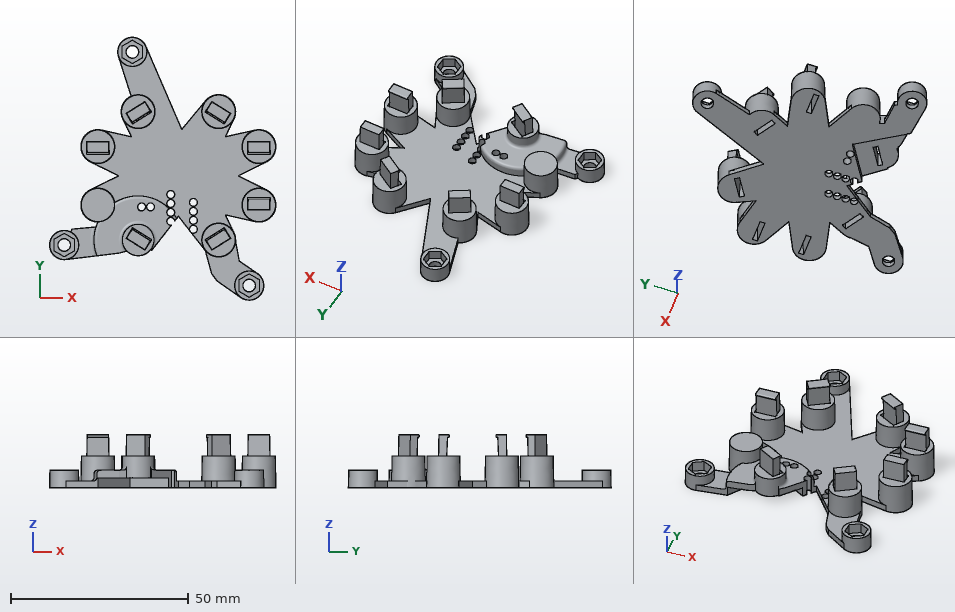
import cadquery as cq
import math

PLATE_TOP = 1.9
POCKET_ROOF = 2.8
PAD_TOP = 5.0
BOSS_TOP = PAD_TOP
PILLAR_TOP = 9.0
CLIP_TOP = 15.0

DRAFT_ANGLE = 1
PILLAR_BASE_RADIUS = 4.8
SIDE_X, SIDE_Y = 22.75, 8.25
DIAGONAL_X, DIAGONAL_Y = 11.4, 18.1
DIAGONAL_TILT = math.degrees(math.atan2(DIAGONAL_X, DIAGONAL_Y))
SIDE_PILLARS = [(sx * SIDE_X, sy * SIDE_Y) for sx in (-1, 1) for sy in (-1, 1)]
DIAGONAL_PILLARS = [(sx * DIAGONAL_X, sy * DIAGONAL_Y) for sx in (-1, 1) for sy in (-1, 1)]
PLAIN_PILLAR = (-SIDE_X, -SIDE_Y)
PAD_PILLAR = (-DIAGONAL_X, -DIAGONAL_Y)

SIDE_NOTCH_X = 16.95
CORNER_NOTCH_X, CORNER_NOTCH_Y = 13.3, 11.1
TOP_NOTCH = (1.0, 13.15)
BOTTOM_NOTCH = (0, -11.45)
LEFT_NOTCH, RIGHT_NOTCH = (-SIDE_NOTCH_X, 0), (SIDE_NOTCH_X, 0)
UPPER_LEFT_NOTCH = (-CORNER_NOTCH_X, CORNER_NOTCH_Y)
UPPER_RIGHT_NOTCH = (CORNER_NOTCH_X, CORNER_NOTCH_Y)
LOWER_LEFT_NOTCH = (-CORNER_NOTCH_X, -CORNER_NOTCH_Y)
LOWER_RIGHT_NOTCH = (CORNER_NOTCH_X, -CORNER_NOTCH_Y)

BOSS_BASE_RADIUS = 4.15
NUT_FLATS = 5.7
NUT_FLOOR = PLATE_TOP
SCREW_DIAMETER = 3.5
TOP_BOSS = (-13.0, 35.0)
LEFT_BOSS = (-32.25, -19.55)
RIGHT_BOSS = (20.0, -31.0)

TOP_ARM_ROOT = (-13.4, 22.5)
LEFT_ARM_SHOULDER = (-30.0, -15.0)
LEFT_ARM_ROOT = (-21.8, -14.3)
LEFT_ARM_HEEL = (-16.65, -21.85)
LEFT_ARM_TOE = (-14.65, -21.25)
RIGHT_ARM_INNER_ELBOW = (17.25, -24.1)
RIGHT_ARM_OUTER_ELBOW = [(10.9, -29.7), (9.4, -27.65)]

PAD_RADIUS = 12.5
PAD_PILLAR_RADIUS = 4.45
FILLET = 1.0
POCKET_HALF = 7.2
POCKET_REACH = 11.9

CLIP_LENGTH = 6.3
CLIP_BACK = -1.4
CLIP_FRONT = 1.0
SLOT_END = 2.1
CLIP_LEAN = 0.2
HOOK_REACH = 1.7
HOOK_TIP_DROP = 0.4
HOOK_ROOT_DROP = 0.75
HOOK_TOP_SETBACK = 0.3

WIRE_DIAMETER = 2.15
WIRE_PITCH = 2.5
WIRE_ROWS = [
    ((-2.15, -5.3), (0, -1), 4),
    ((4.2, -7.5), (0, -1), 4),
    ((-10.4, -8.8), (1, 0), 2),
]


def prism(points, height):
    return cq.Workplane("XY").polyline(points).close().extrude(height)


def tangent_point(point, centre, radius, side):
    """Where the line from point touches the circle; side +1 is counterclockwise of the point."""
    dx, dy = point[0] - centre[0], point[1] - centre[1]
    angle = math.atan2(dy, dx) + side * math.acos(radius / math.hypot(dx, dy))
    return (centre[0] + radius * math.cos(angle), centre[1] + radius * math.sin(angle))


def spoke(centre, first_notch, second_notch):
    """Plate area that runs from two notches, taken counterclockwise, to tangents of a pillar base."""
    first_touch = tangent_point(first_notch, centre, PILLAR_BASE_RADIUS, 1)
    second_touch = tangent_point(second_notch, centre, PILLAR_BASE_RADIUS, -1)
    return prism([(0, 0), first_notch, first_touch, centre, second_touch, second_notch], PLATE_TOP)


def post(centre, base_radius, height, draft=0):
    return cq.Workplane("XY").center(*centre).circle(base_radius).extrude(height, taper=draft)


def cove(centre, radius, base):
    """Ring with a concave quarter-round outside, standing on the height base."""
    corner = FILLET * (1 - math.sqrt(0.5))
    profile = (
        cq.Workplane("XZ")
        .moveTo(radius - FILLET, base)
        .lineTo(radius + FILLET, base)
        .threePointArc((radius + corner, base + corner), (radius, base + FILLET))
        .lineTo(radius - FILLET, base + FILLET)
        .close()
    )
    return profile.revolve(360, (0, 0, 0), (0, 1, 0)).translate((*centre, 0))


def make_plate():
    spokes = [
        ((SIDE_X, SIDE_Y), RIGHT_NOTCH, UPPER_RIGHT_NOTCH),
        ((DIAGONAL_X, DIAGONAL_Y), UPPER_RIGHT_NOTCH, TOP_NOTCH),
        ((-DIAGONAL_X, DIAGONAL_Y), TOP_NOTCH, UPPER_LEFT_NOTCH),
        ((-SIDE_X, SIDE_Y), UPPER_LEFT_NOTCH, LEFT_NOTCH),
        ((-SIDE_X, -SIDE_Y), LEFT_NOTCH, LOWER_LEFT_NOTCH),
        ((-DIAGONAL_X, -DIAGONAL_Y), LOWER_LEFT_NOTCH, BOTTOM_NOTCH),
        ((DIAGONAL_X, -DIAGONAL_Y), BOTTOM_NOTCH, LOWER_RIGHT_NOTCH),
        ((SIDE_X, -SIDE_Y), LOWER_RIGHT_NOTCH, RIGHT_NOTCH),
    ]
    plate = spoke(*spokes[0])
    for centre, first_notch, second_notch in spokes[1:]:
        plate = plate.union(spoke(centre, first_notch, second_notch))
    return plate


def make_top_arm():
    right_touch = tangent_point(TOP_NOTCH, TOP_BOSS, BOSS_BASE_RADIUS, 1)
    left_touch = tangent_point(TOP_ARM_ROOT, TOP_BOSS, BOSS_BASE_RADIUS, -1)
    pillar = (-DIAGONAL_X, DIAGONAL_Y)
    return prism([TOP_NOTCH, right_touch, TOP_BOSS, left_touch, TOP_ARM_ROOT, pillar], PLATE_TOP)


def left_arm_lower_edge():
    """Edge shared by the arm and the pad, from the boss to the pad pillar."""
    boss_touch = tangent_point(LEFT_ARM_HEEL, LEFT_BOSS, BOSS_BASE_RADIUS, -1)
    return [boss_touch, LEFT_ARM_HEEL, LEFT_ARM_TOE, PAD_PILLAR]


def make_left_arm(height):
    outline = left_arm_lower_edge() + [LEFT_ARM_ROOT, LEFT_ARM_SHOULDER, LEFT_BOSS]
    return prism(outline, height)


def make_right_arm():
    pillar = (DIAGONAL_X, -DIAGONAL_Y)
    pillar_outer = tangent_point(LOWER_RIGHT_NOTCH, pillar, PILLAR_BASE_RADIUS, -1)
    pillar_inner = tangent_point(BOTTOM_NOTCH, pillar, PILLAR_BASE_RADIUS, 1)
    upper_touch = tangent_point(RIGHT_ARM_INNER_ELBOW, RIGHT_BOSS, BOSS_BASE_RADIUS, -1)
    lower_touch = tangent_point(RIGHT_ARM_OUTER_ELBOW[0], RIGHT_BOSS, BOSS_BASE_RADIUS, 1)
    return prism(
        [pillar_inner, pillar, pillar_outer, RIGHT_ARM_INNER_ELBOW, upper_touch, RIGHT_BOSS, lower_touch]
        + RIGHT_ARM_OUTER_ELBOW,
        PLATE_TOP,
    )


def make_pad():
    """Disc round the pad pillar, trimmed to the plate edge, with the pillar and arm coves."""
    disc = post(PAD_PILLAR, PAD_RADIUS, PAD_TOP)
    disc = disc.faces(">Z").edges().fillet(FILLET)
    disc = disc.union(cove(PAD_PILLAR, PAD_PILLAR_RADIUS, PAD_TOP))
    edge_touch = tangent_point(BOTTOM_NOTCH, PAD_PILLAR, PILLAR_BASE_RADIUS, -1)
    trim = left_arm_lower_edge() + [edge_touch, BOTTOM_NOTCH, (0, 0), (LEFT_BOSS[0], 0)]
    pad = disc.intersect(prism(trim, PILLAR_TOP))
    arm_cove = cove(PAD_PILLAR, PAD_RADIUS, PLATE_TOP).intersect(make_left_arm(PAD_TOP))
    return pad.union(arm_cove)


def place_on_pillar(body, centre):
    """Turn local +Y toward the middle of the plate and move to the pillar centre."""
    x, y = centre
    tilt = DIAGONAL_TILT if centre in DIAGONAL_PILLARS else 0
    angle = -math.copysign(tilt, x * y)
    if y > 0:
        angle += 180
    return body.rotate((0, 0, 0), (0, 0, 1), angle).translate((x, y, 0))


def make_pocket():
    """Square-cornered recess from below that lies parallel to the clip of the pad pillar."""
    pocket = cq.Workplane("XY").box(
        2 * POCKET_HALF, POCKET_HALF + POCKET_REACH, POCKET_ROOF, centered=(True, False, False)
    )
    return place_on_pillar(pocket.translate((0, -POCKET_REACH, 0)), PAD_PILLAR)


def make_clip():
    """Upright tongue with a rounded hook along its upper edge and slightly tapered sides."""
    shrink = (CLIP_TOP - PILLAR_TOP) * math.tan(math.radians(DRAFT_ANGLE))
    profile = (
        cq.Workplane("YZ")
        .moveTo(CLIP_BACK, PILLAR_TOP)
        .lineTo(CLIP_FRONT, PILLAR_TOP)
        .lineTo(CLIP_FRONT + CLIP_LEAN, CLIP_TOP - HOOK_ROOT_DROP)
        .threePointArc(
            (HOOK_REACH, CLIP_TOP - HOOK_TIP_DROP),
            (HOOK_REACH - HOOK_TOP_SETBACK, CLIP_TOP),
        )
        .lineTo(CLIP_BACK + shrink, CLIP_TOP)
        .close()
    )
    tongue = profile.extrude(CLIP_LENGTH / 2, both=True)
    half_base, half_top = CLIP_LENGTH / 2, CLIP_LENGTH / 2 - shrink
    taper = [(-half_base, PILLAR_TOP), (half_base, PILLAR_TOP), (half_top, CLIP_TOP), (-half_top, CLIP_TOP)]
    sides = cq.Workplane("XZ").polyline(taper).close().extrude(CLIP_LENGTH, both=True)
    return tongue.intersect(sides)


def make_clip_slot():
    """Slot through the pillar whose near wall continues the leaning front of the clip."""
    lean_slope = CLIP_LEAN / (CLIP_TOP - HOOK_ROOT_DROP - PILLAR_TOP)
    bottom_front = CLIP_FRONT - lean_slope * PILLAR_TOP
    profile = [(bottom_front, 0), (CLIP_FRONT, PILLAR_TOP), (SLOT_END, PILLAR_TOP), (SLOT_END, 0)]
    return cq.Workplane("YZ").polyline(profile).close().extrude(CLIP_LENGTH / 2, both=True)


def nut_seat(centre):
    """Through hole for the screw with a hexagonal nut recess, corners along Y."""
    corner_diameter = NUT_FLATS / math.cos(math.radians(30))
    screw = cq.Workplane("XY").circle(SCREW_DIAMETER / 2).extrude(BOSS_TOP)
    nut = cq.Workplane("XY").polygon(6, corner_diameter).extrude(BOSS_TOP - NUT_FLOOR)
    nut = nut.rotate((0, 0, 0), (0, 0, 1), 30).translate((0, 0, NUT_FLOOR))
    return screw.union(nut).translate((*centre, 0))


def wire_holes():
    points = [
        (x + step * WIRE_PITCH * dx, y + step * WIRE_PITCH * dy)
        for (x, y), (dx, dy), count in WIRE_ROWS
        for step in range(count)
    ]
    return cq.Workplane("XY").pushPoints(points).circle(WIRE_DIAMETER / 2).extrude(PAD_TOP)


pillars = SIDE_PILLARS + DIAGONAL_PILLARS
drafted_pillars = [centre for centre in pillars if centre != PAD_PILLAR]
clip_pillars = [centre for centre in pillars if centre != PLAIN_PILLAR]
bosses = [TOP_BOSS, LEFT_BOSS, RIGHT_BOSS]

body = make_plate().union(make_top_arm()).union(make_left_arm(PLATE_TOP)).union(make_right_arm())
body = body.union(make_pad())
body = body.union(post(PAD_PILLAR, PAD_PILLAR_RADIUS, PILLAR_TOP))
for centre in drafted_pillars:
    body = body.union(post(centre, PILLAR_BASE_RADIUS, PILLAR_TOP, DRAFT_ANGLE))
for centre in bosses:
    body = body.union(post(centre, BOSS_BASE_RADIUS, BOSS_TOP, DRAFT_ANGLE))
for centre in clip_pillars:
    body = body.union(place_on_pillar(make_clip(), centre))

body = body.cut(make_pocket()).cut(wire_holes())
for centre in clip_pillars:
    body = body.cut(place_on_pillar(make_clip_slot(), centre))
for centre in bosses:
    body = body.cut(nut_seat(centre))

result = body